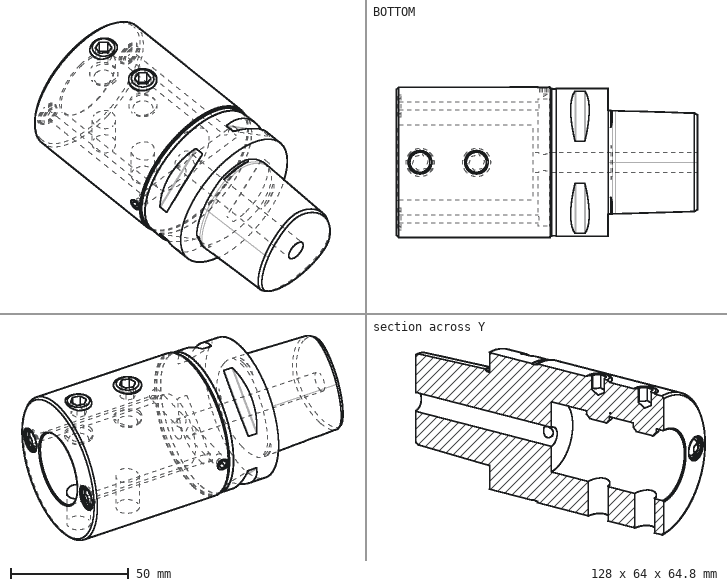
import cadquery as cq
import math

OVERALL_LENGTH = 128.0

BODY_DIAMETER = 64.0
BODY_LENGTH = 65.3
BODY_CHAMFER = 1.0
FLANGE_DIAMETER = 63.0
FLANGE_END = 90.0
BAND_DIAMETER = 62.6
BAND_START = 66.0
BAND_END = 68.0

BORE_DIAMETER = 32.0
BORE_MOUTH_DIAMETER = 33.0
BORE_DEPTH = 58.0
THROUGH_HOLE_DIAMETER = 8.5

SHANK_MEAN_RADIUS = 22.0
LOBE_HEIGHT = 1.45
LOBE_ANGLE = 90.0
LOBE_COUNT = 3
NECK_END = 91.8
TAPER_START = 93.0
TAPER_SLOPE = 0.03
NECK_TURNED_DIAMETER = 44.9
NECK_TURNED_END = 91.2
SHANK_CHAMFER_LENGTH = 1.4
SHANK_CHAMFER_HEIGHT = 0.8
POINTS_PER_LOBE = 13

GROOVE_CENTER_X = 78.0
GROOVE_FLOOR_WIDTH = 4.2
GROOVE_CORNER_RADIUS = 0.4
GROOVE_FLOOR_RADIUS = 27.7
GROOVE_WALL_ANGLE = 26.0
GROOVE_ANGLES = (45.0, 135.0, 225.0, 315.0)

CLAMP_SCREWS = ((10.0, 32.4), (34.0, 32.81))
CLAMP_SCREW_DIAMETER = 12.0
CLAMP_SCREW_LENGTH = 20.0
CLAMP_SCREW_TOP_DIAMETER = 9.6
CLAMP_SCREW_TOP_CHAMFER = 0.8
CLAMP_SCREW_TIP_DIAMETER = 8.5
CLAMP_SCREW_TIP_CHAMFER = 1.75
CLAMP_SOCKET_WIDTH = 6.0
CLAMP_SOCKET_DEPTH = 6.0
CLAMP_SOCKET_TURN = 47.0
OPPOSITE_HOLE_DIAMETER = 10.0

NOZZLE_OFFSET = 24.0
NOZZLE_MOUTH_DIAMETER = 10.8
NOZZLE_RECESS_DIAMETER = 10.11
NOZZLE_STEP_DEPTH = 0.8
NOZZLE_SEAT_DIAMETER = 9.2
NOZZLE_SEAT_DEPTH = 1.8
NOZZLE_OPENING_DIAMETER = 7.0
NOZZLE_BALL_DIAMETER = 8.1
NOZZLE_HOLE_DIAMETER = 3.24

CHANNEL_X = 62.5
CHANNEL_DIAMETER = 5.0
CHANNEL_END = 27.0
PLUG_DIAMETER = 5.1
PLUG_RECESS = 0.3
PLUG_SOCKET_WIDTH = 3.2
PLUG_SOCKET_DEPTH = 2.5
PLUG_SOCKET_TURN = 13.0

SOCKET_POINT_ANGLE = 120.0
HEX_SIDES = 6


def make_body():
    """Turned body, band and flange as one revolved outline."""
    body_radius = BODY_DIAMETER / 2
    flange_radius = FLANGE_DIAMETER / 2
    band_radius = BAND_DIAMETER / 2
    outline = [
        (0, 0),
        (0, body_radius - BODY_CHAMFER),
        (BODY_CHAMFER, body_radius),
        (BODY_LENGTH, body_radius),
        (BODY_LENGTH, flange_radius),
        (BAND_START, flange_radius),
        (BAND_START, band_radius),
        (BAND_END, band_radius),
        (BAND_END, flange_radius),
        (FLANGE_END, flange_radius),
        (FLANGE_END, 0),
    ]
    return cq.Workplane("XY").polyline(outline).close().revolve(360, (0, 0), (1, 0))


def lobed_point(x, inset, angle):
    """Point of the lobed section whose outward normal has the given angle in the YZ plane."""
    phase = LOBE_COUNT * (angle - math.radians(LOBE_ANGLE))
    support = SHANK_MEAN_RADIUS - inset + LOBE_HEIGHT * math.cos(phase)
    slope = -LOBE_COUNT * LOBE_HEIGHT * math.sin(phase)
    y = support * math.cos(angle) - slope * math.sin(angle)
    z = support * math.sin(angle) + slope * math.cos(angle)
    return cq.Vector(x, y, z)


def lobed_wire(x, inset):
    """Closed lobed section at x: one curve per lobe, joined at the middles of the flats."""
    lobe_span = 2 * math.pi / LOBE_COUNT
    first_flat = math.radians(LOBE_ANGLE) - lobe_span / 2
    edges = []
    for lobe in range(LOBE_COUNT):
        start = first_flat + lobe * lobe_span
        angles = [start + lobe_span * i / (POINTS_PER_LOBE - 1) for i in range(POINTS_PER_LOBE)]
        points = [lobed_point(x, inset, angle) for angle in angles]
        end_tangents = [cq.Vector(0, -math.sin(a), math.cos(a)) for a in (angles[0], angles[-1])]
        edges.append(cq.Edge.makeSpline(points, tangents=end_tangents))
    return cq.Wire.assembleEdges(edges)


def lobed_section(x_start, inset_start, x_end, inset_end):
    """Straight-sided lobed solid between two sections."""
    wires = [lobed_wire(x_start, inset_start), lobed_wire(x_end, inset_end)]
    return cq.Workplane(obj=cq.Solid.makeLoft(wires, True))


def make_shank():
    """Lobed neck with turned relief, straight land, taper and end chamfer."""
    chamfer_start = OVERALL_LENGTH - SHANK_CHAMFER_LENGTH
    taper_inset = (chamfer_start - TAPER_START) * TAPER_SLOPE

    neck = lobed_section(FLANGE_END, 0, NECK_END, 0)
    turned_radius = NECK_TURNED_DIAMETER / 2
    runout_radius = turned_radius + NECK_END - NECK_TURNED_END
    relief_outline = [
        (FLANGE_END, turned_radius),
        (NECK_TURNED_END, turned_radius),
        (NECK_END, runout_radius),
        (NECK_END, BODY_DIAMETER / 2),
        (FLANGE_END, BODY_DIAMETER / 2),
    ]
    relief = cq.Workplane("XY").polyline(relief_outline).close().revolve(360, (0, 0), (1, 0))
    land = lobed_section(NECK_END, 0, TAPER_START, 0)
    taper = lobed_section(TAPER_START, 0, chamfer_start, taper_inset)
    end = lobed_section(chamfer_start, taper_inset, OVERALL_LENGTH, taper_inset + SHANK_CHAMFER_HEIGHT)
    return neck.cut(relief).union(land).union(taper).union(end)


def make_bore():
    """Stepped bore with a chamfered mouth and a smaller hole through the whole length."""
    bore_radius = BORE_DIAMETER / 2
    mouth_radius = BORE_MOUTH_DIAMETER / 2
    hole_radius = THROUGH_HOLE_DIAMETER / 2
    outline = [
        (0, 0),
        (0, mouth_radius),
        (mouth_radius - bore_radius, bore_radius),
        (BORE_DEPTH, bore_radius),
        (BORE_DEPTH, hole_radius),
        (OVERALL_LENGTH, hole_radius),
        (OVERALL_LENGTH, 0),
    ]
    return cq.Workplane("XY").polyline(outline).close().revolve(360, (0, 0), (1, 0))


def make_gripper_groove(angle):
    """Straight V-sided groove across the flange, its floor facing the given angle."""
    groove_depth = BODY_DIAMETER / 2 - GROOVE_FLOOR_RADIUS
    floor_half = GROOVE_FLOOR_WIDTH / 2
    top_half = floor_half + groove_depth * math.tan(math.radians(GROOVE_WALL_ANGLE))
    outline = [
        (GROOVE_CENTER_X - floor_half, GROOVE_FLOOR_RADIUS),
        (GROOVE_CENTER_X + floor_half, GROOVE_FLOOR_RADIUS),
        (GROOVE_CENTER_X + top_half, BODY_DIAMETER / 2),
        (GROOVE_CENTER_X - top_half, BODY_DIAMETER / 2),
    ]
    groove = cq.Workplane("XY").polyline(outline).close().extrude(BODY_DIAMETER / 2, both=True)
    groove = groove.faces("<Y").edges("|Z").fillet(GROOVE_CORNER_RADIUS)
    return groove.rotate((0, 0, 0), (1, 0, 0), angle)


def make_hex_socket(width, depth, turn):
    """Hexagon socket opening at z = 0 and running down to a conical bottom."""
    corner_diameter = width / math.cos(math.pi / HEX_SIDES)
    corner_radius = corner_diameter / 2
    point_depth = corner_radius / math.tan(math.radians(SOCKET_POINT_ANGLE / 2))
    hexagon = (
        cq.Workplane("XY")
        .polygon(HEX_SIDES, corner_diameter)
        .extrude(-depth - point_depth)
        .rotate((0, 0, 0), (0, 0, 1), turn)
    )
    pointed_cylinder = (
        cq.Workplane("XZ")
        .polyline([(0, 0), (corner_radius, 0), (corner_radius, -depth), (0, -depth - point_depth)])
        .close()
        .revolve(360, (0, 0), (0, 1))
    )
    return hexagon.intersect(pointed_cylinder)


def make_clamp_screw(x, top):
    """Set screw along Z with chamfered ends, still without its socket."""
    radius = CLAMP_SCREW_DIAMETER / 2
    top_radius = CLAMP_SCREW_TOP_DIAMETER / 2
    tip_radius = CLAMP_SCREW_TIP_DIAMETER / 2
    outline = [
        (0, 0),
        (top_radius, 0),
        (radius, -CLAMP_SCREW_TOP_CHAMFER),
        (radius, CLAMP_SCREW_TIP_CHAMFER - CLAMP_SCREW_LENGTH),
        (tip_radius, -CLAMP_SCREW_LENGTH),
        (0, -CLAMP_SCREW_LENGTH),
    ]
    shaft = cq.Workplane("XZ").polyline(outline).close().revolve(360, (0, 0), (0, 1))
    return shaft.translate((x, 0, top))


def make_clamp_socket(x, top):
    """Hexagon socket in the top of a clamping screw."""
    socket = make_hex_socket(CLAMP_SOCKET_WIDTH, CLAMP_SOCKET_DEPTH, CLAMP_SOCKET_TURN)
    return socket.translate((x, 0, top))


def make_opposite_hole(x):
    """Hole from the bore out through the wall below a clamping screw."""
    return (
        cq.Workplane("XY", origin=(x, 0, 0))
        .circle(OPPOSITE_HOLE_DIAMETER / 2)
        .extrude(-BODY_DIAMETER / 2)
    )


def make_nozzle_cut(y):
    """Recess in the front face around a ball nozzle, with the hole through the ball."""
    mouth_radius = NOZZLE_MOUTH_DIAMETER / 2
    recess_radius = NOZZLE_RECESS_DIAMETER / 2
    seat_radius = NOZZLE_SEAT_DIAMETER / 2
    opening_radius = NOZZLE_OPENING_DIAMETER / 2
    ball_radius = NOZZLE_BALL_DIAMETER / 2
    ball_center = NOZZLE_SEAT_DEPTH + math.sqrt(ball_radius**2 - opening_radius**2)
    outline = [
        (0, 0),
        (0, mouth_radius),
        (mouth_radius - recess_radius, recess_radius),
        (NOZZLE_STEP_DEPTH, recess_radius),
        (NOZZLE_STEP_DEPTH, seat_radius),
        (NOZZLE_SEAT_DEPTH, seat_radius),
        (NOZZLE_SEAT_DEPTH, 0),
    ]
    recess = cq.Workplane("XY").polyline(outline).close().revolve(360, (0, 0), (1, 0))
    ball = cq.Workplane("XY").sphere(ball_radius).translate((ball_center, 0, 0))
    hole = cq.Workplane("YZ").circle(NOZZLE_HOLE_DIAMETER / 2).extrude(CHANNEL_X)
    return recess.cut(ball).union(hole).translate((0, y, 0))


def make_channel():
    """Cross channel along Y that joins the nozzle holes to the central hole."""
    return (
        cq.Workplane("XZ", origin=(CHANNEL_X, 0, 0))
        .circle(CHANNEL_DIAMETER / 2)
        .extrude(CHANNEL_END, both=True)
    )


def make_plug_cut():
    """Shallow recess and hexagon socket of the plug that closes the channel on the -Y side."""
    plug_face = BODY_DIAMETER / 2 - PLUG_RECESS
    recess = cq.Workplane("XY").circle(PLUG_DIAMETER / 2).extrude(2 * PLUG_RECESS)
    socket = make_hex_socket(PLUG_SOCKET_WIDTH, PLUG_SOCKET_DEPTH, PLUG_SOCKET_TURN)
    return recess.union(socket).rotate((0, 0, 0), (1, 0, 0), 90).translate((CHANNEL_X, -plug_face, 0))


holder = make_body().union(make_shank()).cut(make_bore())

for groove_angle in GROOVE_ANGLES:
    holder = holder.cut(make_gripper_groove(groove_angle))

for screw_x, screw_top in CLAMP_SCREWS:
    holder = holder.cut(make_opposite_hole(screw_x))
    holder = holder.union(make_clamp_screw(screw_x, screw_top))
    holder = holder.cut(make_clamp_socket(screw_x, screw_top))

for nozzle_y in (-NOZZLE_OFFSET, NOZZLE_OFFSET):
    holder = holder.cut(make_nozzle_cut(nozzle_y))

result = holder.cut(make_channel()).cut(make_plug_cut())